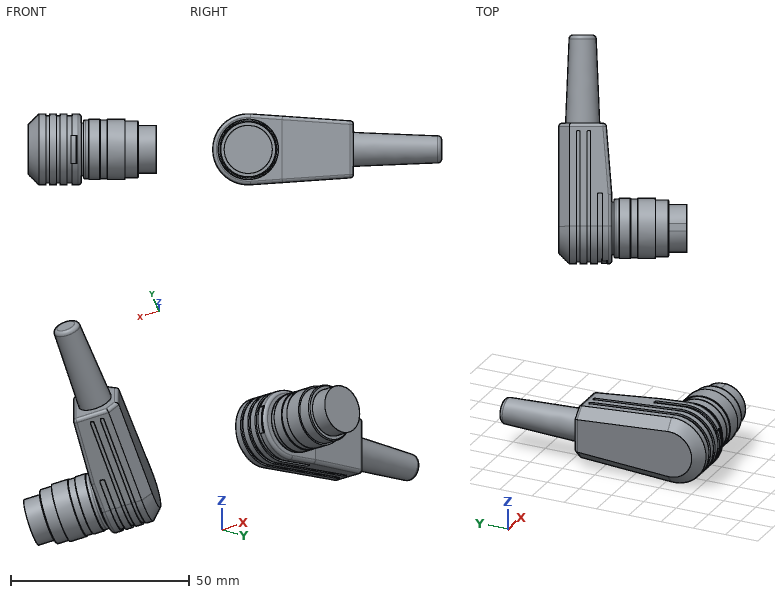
import cadquery as cq
import math


overall_length = 64.3

housing_width = 15.0
housing_height = 20.0
housing_radius = housing_height / 2
housing_end_y = 29.5
housing_end_half_height = 8.0
back_chamfer = 3.0
edge_fillet = 1.0
slant_start_y = 9.5
slant_end_x = 13.4

groove_depth = 0.5
groove_corner = 0.45
grooves = [(5.0, 1.0, 27.45), (8.0, 1.0, 27.45), (10.9, 1.4, 9.95)]

tab_start_x = 12.1
tab_width = 1.35
tab_half_height = 3.9
tab_gap = 0.3
tab_gap_depth = 0.25
tab_root_depth = 1.0
tab_sink = 0.05

sleeve_x = 6.75
sleeve_base_radius = 4.8
sleeve_tip_radius = 3.8
sleeve_end_y = overall_length - housing_radius
sleeve_fillet = 1.2

neck_radius = 7.45
ring_start_x = 15.5
ring_radius = 8.3
band_radius = 8.5
band_bevel = 0.16
ring_fillet = 0.6
rear_band = (17.0, 20.25)
front_band = (22.2, 27.1)
collar_diameter = 16.0
collar_radius = collar_diameter / 2
collar_end_x = 31.0
collar_chamfer = 0.3
barrel_radius = 6.75
barrel_end_x = 36.0

flat_width = 2.2
flat_tilt = 3.0

taper = math.asin(
    housing_radius / math.hypot(housing_end_y, housing_end_half_height)
) - math.atan2(housing_end_half_height, housing_end_y)


def housing_prism(inset, end_y, width):
    """Tapering outline with a round end, moved inwards by inset and extruded along X."""
    radius = housing_radius - inset
    tangent_y = radius * math.sin(taper)
    tangent_z = radius * math.cos(taper)
    end_z = (radius - end_y * math.sin(taper)) / math.cos(taper)
    return (
        cq.Workplane("YZ")
        .moveTo(end_y, end_z)
        .lineTo(tangent_y, tangent_z)
        .threePointArc((-radius, 0), (tangent_y, -tangent_z))
        .lineTo(end_y, -end_z)
        .close()
        .extrude(width)
    )


def make_housing():
    trim = 2 * back_chamfer
    long_end_y = housing_end_y + trim
    block = housing_prism(0, long_end_y, housing_width).faces("<X").chamfer(back_chamfer)
    envelope = (
        cq.Workplane("XY")
        .moveTo(0, -housing_radius)
        .lineTo(housing_width, -housing_radius)
        .lineTo(housing_width, slant_start_y)
        .lineTo(slant_end_x, housing_end_y)
        .lineTo(0, housing_end_y)
        .close()
        .extrude(housing_radius, both=True)
    )
    block = block.intersect(envelope)
    slant_direction = cq.Vector(housing_end_y - slant_start_y, housing_width - slant_end_x, 0)
    slant_face = block.faces(cq.ParallelDirSelector(slant_direction)).edges()
    rounded_faces = block.faces(">X or >Y").edges().add(slant_face)
    return rounded_faces.fillet(edge_fillet)


def make_groove(start_x, width, end_y):
    """Cutter for a shallow groove that runs around the round end and up both sides."""
    band = (
        cq.Workplane("XY")
        .rect(width, end_y + housing_radius)
        .extrude(housing_radius, both=True)
        .edges("|Z and >Y")
        .fillet(groove_corner)
        .translate((start_x + width / 2, (end_y - housing_radius) / 2, 0))
    )
    core = housing_prism(groove_depth, housing_end_y, housing_width)
    return band.cut(core)


def make_tab_piece(start_x, width, inner_radius, outer_radius):
    """Curved strip at the round end, centred on z = 0."""
    ring = (
        cq.Workplane("YZ", origin=(start_x, 0, 0))
        .circle(outer_radius)
        .circle(inner_radius)
        .extrude(width)
    )
    window = cq.Workplane("XY").box(
        width, housing_radius, 2 * tab_half_height, centered=(False, False, True)
    )
    return ring.intersect(window.translate((start_x, -housing_radius, 0)))


def make_sleeve():
    return (
        cq.Workplane("XZ", origin=(sleeve_x, housing_end_y, 0))
        .circle(sleeve_base_radius)
        .workplane(offset=housing_end_y - sleeve_end_y)
        .circle(sleeve_tip_radius)
        .loft()
        .faces(">Y")
        .edges()
        .fillet(sleeve_fillet)
    )


def make_disc(start_x, end_x, radius):
    return cq.Workplane("YZ", origin=(start_x, 0, 0)).circle(radius).extrude(end_x - start_x)


def make_barrel_flat():
    """Cutter that takes a shallow flat off the top of the barrel."""
    flat_height = math.sqrt(barrel_radius**2 - (flat_width / 2) ** 2)
    return (
        cq.Workplane("XY")
        .box(
            barrel_end_x - collar_end_x,
            2 * flat_width,
            barrel_radius,
            centered=(False, True, False),
        )
        .translate((collar_end_x, 0, flat_height))
        .rotate((0, 0, 0), (1, 0, 0), -flat_tilt)
    )


def make_connector():
    neck = make_disc(housing_width, ring_start_x, neck_radius)
    ring = make_disc(ring_start_x, front_band[1], ring_radius).faces("<X").edges().fillet(ring_fillet)
    collar = make_disc(front_band[1], collar_end_x, collar_radius).faces(">X").chamfer(collar_chamfer)
    barrel = make_disc(collar_end_x, barrel_end_x, barrel_radius).cut(make_barrel_flat())
    connector = neck.union(ring).union(collar).union(barrel)
    rear = make_disc(*rear_band, band_radius).edges().chamfer(band_bevel)
    front = make_disc(*front_band, band_radius).faces("<X").chamfer(band_bevel)
    return connector.union(rear).union(front)


housing = make_housing()
for start_x, width, end_y in grooves:
    housing = housing.cut(make_groove(start_x, width, end_y))

tab_end_x = tab_start_x + tab_width
tab_radius = housing_radius - tab_sink
tab_fill = make_tab_piece(tab_start_x, tab_width, housing_radius - tab_root_depth, tab_radius)
tab_clearance = make_tab_piece(tab_start_x, tab_width, tab_radius, housing_radius)
gap = make_tab_piece(tab_end_x, tab_gap, housing_radius - tab_gap_depth, housing_radius)
housing = housing.union(tab_fill).cut(tab_clearance).cut(gap)

result = housing.union(make_sleeve()).union(make_connector())